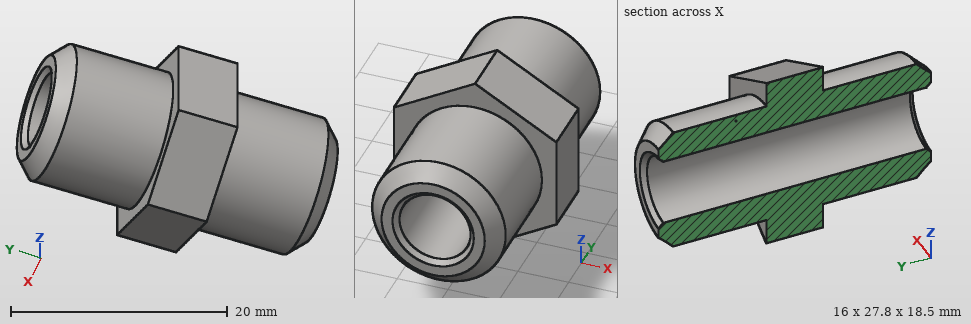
import cadquery as cq
import math

hex_across_flats = 16.0
hex_width = 5.8
spigot_diameter = 13.16
spigot_length = 11.0
spigot_chamfer = 1.5
bore_diameter = 7.0
bore_chamfer = 0.5

hex_across_corners = hex_across_flats / math.cos(math.pi / 6)
total_length = hex_width + 2 * spigot_length


def make_hexagon():
    """Spanner hexagon with its corners pointing along +Z and -Z."""
    hexagon = cq.Workplane("XZ").polygon(6, hex_across_corners).extrude(hex_width / 2, both=True)
    return hexagon.rotate((0, 0, 0), (0, 1, 0), 90)


def make_spigots():
    """Cylinder running the full length, chamfered at both ends."""
    cylinder = cq.Workplane("XZ").circle(spigot_diameter / 2).extrude(total_length / 2, both=True)
    return cylinder.faces("<Y or >Y").chamfer(spigot_chamfer)


def cut_bore(body):
    """Through bore with a chamfered mouth at both ends."""
    bore = cq.Workplane("XZ").circle(bore_diameter / 2).extrude(total_length / 2, both=True)
    drilled = body.cut(bore)
    mouth_edges = cq.selectors.RadiusNthSelector(0)
    return drilled.faces("<Y or >Y").edges(mouth_edges).chamfer(bore_chamfer)


result = cut_bore(make_hexagon().union(make_spigots()))